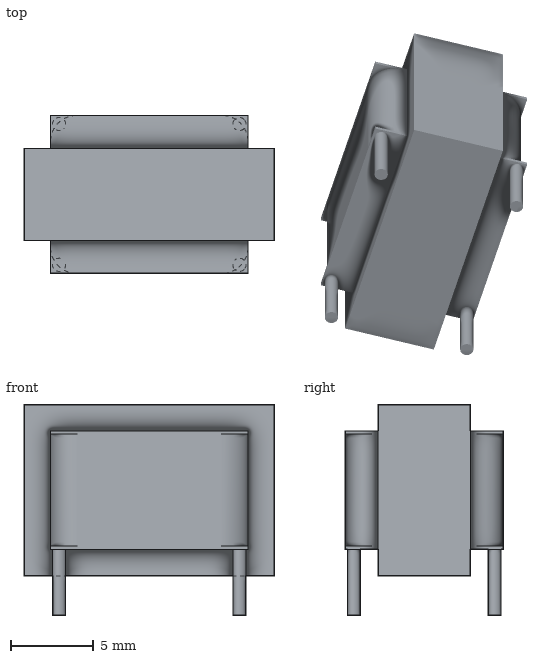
import cadquery as cq

core_length = 15.2
core_width = 5.6
core_height = 10.4

bobbin_length = 12.0
bobbin_width = 9.6
core_yoke = 1.6
bobbin_height = core_height - 2 * core_yoke
flange_thickness = 0.2
winding_radius = 1.6

pin_diameter = 0.8
pin_pitch_x = 10.95
pin_pitch_y = 8.55
pin_projection = 2.4

bobbin_bottom = core_yoke
bobbin_top = bobbin_bottom + bobbin_height


def block(length, width, height, bottom):
    """Block centred on the Z axis, with its lower face at the given height."""
    return cq.Workplane("XY").workplane(offset=bottom).rect(length, width).extrude(height)


def make_core():
    return block(core_length, core_width, core_height, 0)


def make_flange(bottom):
    return block(bobbin_length, bobbin_width, flange_thickness, bottom)


def make_winding():
    """Coil with rounded vertical corners, filling the space between the flanges."""
    height = bobbin_height - 2 * flange_thickness
    coil = block(bobbin_length, bobbin_width, height, bobbin_bottom + flange_thickness)
    return coil.edges("|Z").fillet(winding_radius)


def make_pins():
    """Four round pins, running from the bottom flange to below the core."""
    pin_length = pin_projection + bobbin_bottom + flange_thickness
    return (
        cq.Workplane("XY")
        .workplane(offset=-pin_projection)
        .rect(pin_pitch_x, pin_pitch_y, forConstruction=True)
        .vertices()
        .circle(pin_diameter / 2)
        .extrude(pin_length)
    )


result = (
    make_core()
    .union(make_winding())
    .union(make_flange(bobbin_bottom))
    .union(make_flange(bobbin_top - flange_thickness))
    .union(make_pins())
)